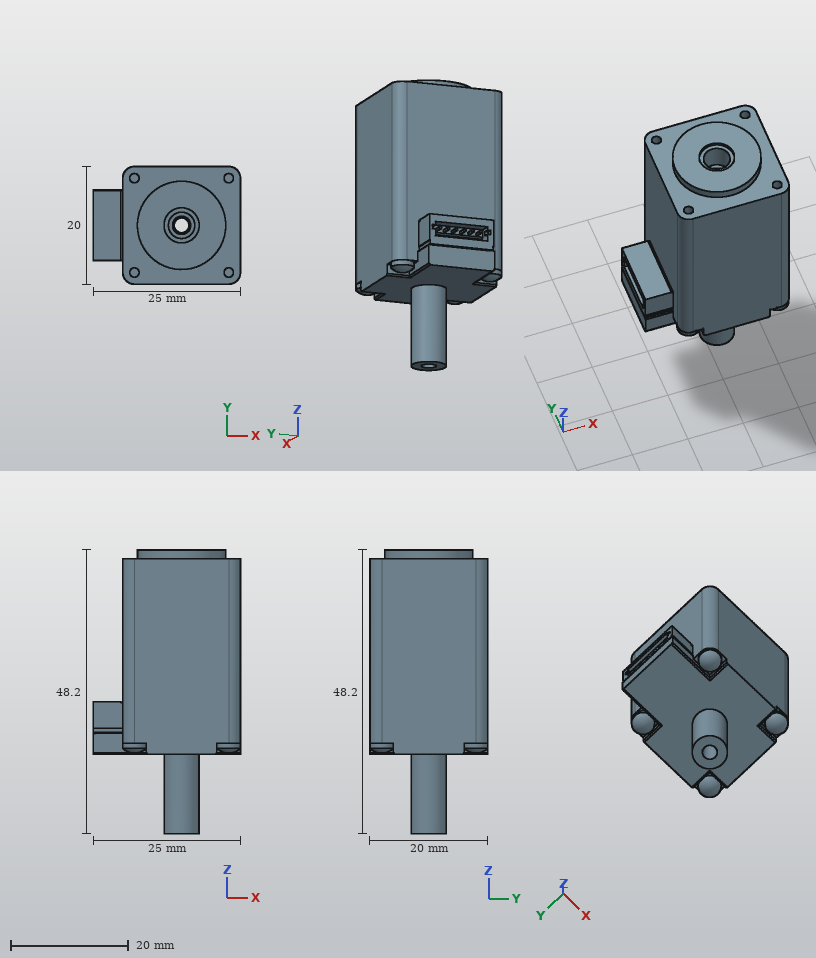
import cadquery as cq

total_height = 48.2
body_width = 20.0
body_half = body_width / 2
body_bottom = 13.5
boss_diameter = 15.0
boss_height = 1.5
body_top = total_height - boss_height

shaft_diameter = 6.0
shaft_bore_diameter = 2.5
bore_lead_in = 0.3
boss_recess_diameter = 6.0
boss_recess_depth = 0.5
boss_bore_diameter = 4.5
boss_bore_depth = 5.0

corner_radius = body_width / 10
screw_offset = body_half - corner_radius
top_hole_diameter = 1.6
top_hole_depth = 3.0
corner_pocket_width = 2 * corner_radius
corner_pocket_height = 1.9
corner_pocket_wall = body_half - corner_pocket_width
pocket_chamfer = 0.3
screw_head_diameter = 3.95
screw_head_rim_height = 0.85
screw_head_dome_height = 0.8

connector_length = 5.0
connector_front = -body_half - connector_length
base_width = 2 * corner_pocket_wall
base_top = 17.05
groove_height = 0.15
groove_depth = 0.3
board_width = 11.45
board_bottom = base_top + groove_height
board_top = 17.9
housing_width = 11.75
housing_top = 22.45
rear_step_length = 0.3
rear_step_drop = 0.15

socket_width = 9.45
socket_bottom = 18.7
socket_top = 21.2
socket_upper_depth = 2.2
socket_lower_depth = 2.5
ledge_top = 19.9
ledge_bottom = 19.6
side_notch_width = 10.6
side_notch_height = 0.7
side_notch_depth = 1.2

pin_count = 6
pin_pitch = 1.5
pin_diameter = 0.5
pin_height = 20.35
pin_setback = 0.5


def cylinder(diameter, bottom, top):
    """Cylinder on the Z axis."""
    return cq.Workplane("XY").workplane(offset=bottom).circle(diameter / 2).extrude(top - bottom)


def connector_box(width, bottom, top, front=connector_front, rear=-body_half):
    """Box centred on y = 0 that runs from front to rear along X."""
    return (
        cq.Workplane("XY")
        .box(rear - front, width, top - bottom, centered=(False, True, False))
        .translate((front, 0, bottom))
    )


def corner_points(offset):
    """Four points at equal distances from both the X and Y axes."""
    return [(x, y) for x in (-offset, offset) for y in (-offset, offset)]


def is_pocket_bottom_edge(edge):
    """True for bottom edges along the walls of the corner pockets."""
    middle = edge.Center()
    tolerance = 0.0005
    on_bottom = abs(middle.z - body_bottom) < tolerance
    on_wall = any(abs(abs(place) - corner_pocket_wall) < tolerance for place in (middle.x, middle.y))
    return on_bottom and on_wall


def make_body():
    """Rounded square body with the connector base and four chamfered corner pockets."""
    body = (
        cq.Workplane("XY")
        .workplane(offset=body_bottom)
        .rect(body_width, body_width)
        .extrude(body_top - body_bottom)
        .edges("|Z")
        .fillet(corner_radius)
    )
    pockets = (
        cq.Workplane("XY")
        .workplane(offset=body_bottom)
        .pushPoints(corner_points(screw_offset))
        .rect(corner_pocket_width, corner_pocket_width)
        .extrude(corner_pocket_height)
    )
    base = connector_box(base_width, body_bottom, base_top, rear=-corner_pocket_wall)
    body = body.cut(pockets).union(base).clean()
    pocket_edges = body.edges().filter(is_pocket_bottom_edge)
    return pocket_edges.chamfer(pocket_chamfer)


def make_screw_head():
    """Pan head: a cylindrical rim with a domed underside."""
    radius = screw_head_diameter / 2
    seat = body_bottom + corner_pocket_height
    rim_bottom = seat - screw_head_rim_height
    dome_bottom = rim_bottom - screw_head_dome_height
    dome_radius = (radius**2 + screw_head_dome_height**2) / (2 * screw_head_dome_height)
    arc_x = radius / 2
    arc_z = dome_bottom + dome_radius - (dome_radius**2 - arc_x**2) ** 0.5
    return (
        cq.Workplane("XZ")
        .moveTo(0, seat)
        .lineTo(radius, seat)
        .lineTo(radius, rim_bottom)
        .threePointArc((arc_x, arc_z), (0, dome_bottom))
        .close()
        .revolve(360, (0, 0, 0), (0, 1, 0))
    )


def make_socket():
    """Socket cavity: its lower part runs deeper, below a sloping ledge."""
    upper_rear = connector_front + socket_upper_depth
    lower_rear = connector_front + socket_lower_depth
    cavity = (
        cq.Workplane("XZ")
        .moveTo(connector_front, socket_bottom)
        .lineTo(lower_rear, socket_bottom)
        .lineTo(lower_rear, ledge_bottom)
        .lineTo(upper_rear, ledge_top)
        .lineTo(upper_rear, socket_top)
        .lineTo(connector_front, socket_top)
        .close()
        .extrude(socket_width / 2, both=True)
    )
    notch_rear = connector_front + side_notch_depth
    notches = connector_box(side_notch_width, ledge_top, ledge_top + side_notch_height, rear=notch_rear)
    return cavity.union(notches)


def make_pins():
    """Row of contact pins that stand out from the rear wall of the socket."""
    row_start = -(pin_count - 1) * pin_pitch / 2
    pin_places = [(row_start + i * pin_pitch, pin_height) for i in range(pin_count)]
    return (
        cq.Workplane("YZ")
        .workplane(offset=connector_front + pin_setback)
        .pushPoints(pin_places)
        .circle(pin_diameter / 2)
        .extrude(socket_lower_depth - pin_setback)
    )


def make_connector():
    """Connector parts above the base block."""
    neck = connector_box(
        board_width - 2 * groove_depth, base_top, board_bottom, front=connector_front + groove_depth
    )
    board = connector_box(board_width, board_bottom, board_top)
    step_front = -body_half - rear_step_length
    housing = connector_box(housing_width, board_top, housing_top, rear=step_front)
    rear_step = connector_box(housing_width, board_top, housing_top - rear_step_drop, front=step_front)
    shell = neck.union(board).union(housing).union(rear_step)
    return shell.cut(make_socket()).union(make_pins())


def make_bore():
    """Through bore with a lead-in cone, below the stepped opening in the boss."""
    bore_floor = total_height - boss_bore_depth
    through_bore = cylinder(shaft_bore_diameter, 0, total_height)
    lead_in = (
        cq.Workplane("XY")
        .workplane(offset=bore_floor)
        .circle(shaft_bore_diameter / 2 + bore_lead_in)
        .workplane(offset=-bore_lead_in)
        .circle(shaft_bore_diameter / 2)
        .loft()
    )
    boss_bore = cylinder(boss_bore_diameter, bore_floor, total_height)
    boss_recess = cylinder(boss_recess_diameter, total_height - boss_recess_depth, total_height)
    return through_bore.union(lead_in).union(boss_bore).union(boss_recess)


def make_top_holes():
    """Blind holes in the corners of the top face."""
    return (
        cq.Workplane("XY")
        .workplane(offset=body_top - top_hole_depth)
        .pushPoints(corner_points(screw_offset))
        .circle(top_hole_diameter / 2)
        .extrude(top_hole_depth)
    )


result = make_body().union(make_connector())
result = result.union(cylinder(boss_diameter, body_top, total_height))
result = result.union(cylinder(shaft_diameter, 0, body_bottom))
screw_head = make_screw_head()
for x, y in corner_points(screw_offset):
    result = result.union(screw_head.translate((x, y, 0)))
result = result.cut(make_top_holes()).cut(make_bore())